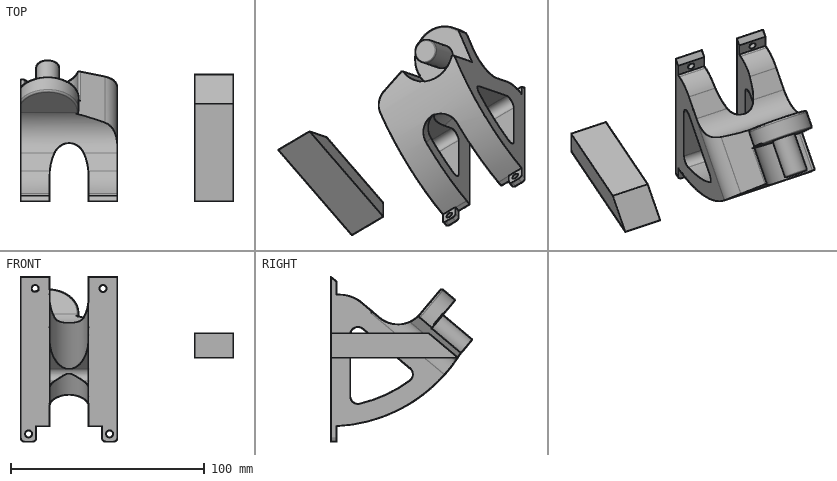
import cadquery as cq
import math

WIDTH = 50.0
HALF_WIDTH = WIDTH / 2
HEIGHT = 85.4
PLATE_THICKNESS = 3.0
TILT = math.radians(40)
COS_TILT = math.cos(TILT)
SIN_TILT = math.sin(TILT)
FAR = 220

FOOT_WIDTH = 8.0
FOOT_HEIGHT = 8.0
FOOT_RADIUS = 2.0
SCREW_DIAMETER = 3.5
LOWER_HOLE_INSET = 4.1
LOWER_HOLE_Z = 4.1
UPPER_HOLE_INSET = 7.5
UPPER_HOLE_DROP = 6.0

HUMP_RADIUS = 18.0
HUMP_START_Y = 4.3
HUMP_Z = 76.2
SADDLE_RADIUS = 15.0
STRUT_LENGTH = 12.0

RIM_CENTRE_Y = -1.0
RIM_CENTRE_Z = 88.1
RIM_END_ANGLE = math.radians(62)
RIM_RADIUS = math.hypot(PLATE_THICKNESS - RIM_CENTRE_Y, FOOT_HEIGHT - RIM_CENTRE_Z)

WINDOW_WALL = 10.0
WINDOW_RADIUS = 4.0

HUB_X = -11.1
HUB_RISE = 1.2
DISC_RADIUS = 16.1
DISC_THICKNESS = 9.4
DISC_HEADROOM = 1.1
DISC_FRONT_FILLET = 1.0
DISC_BACK_FILLET = 0.5
PIN_RADIUS = 6.0
PIN_LENGTH = 19.9
PIN_FILLET = 0.5
POCKET_FILLET = 1.0

SHOULDER_DROP = 2.8
SHOULDER_START = math.sqrt(DISC_RADIUS**2 - SHOULDER_DROP**2)
SHOULDER_SLOPE = math.radians(20)
SHOULDER_RADIUS = 10.0
SHOULDER_FRONT = 19.8

SLOT_RADIUS = 10.0
SLOT_ANGLE = math.radians(65)
SLOT_AXIS_Y = 21.0
SLOT_AXIS_Z = 57.3

OVERALL_LENGTH = 110
WEDGE_WIDTH = 20.0
WEDGE_X = OVERALL_LENGTH - HALF_WIDTH - WEDGE_WIDTH
WEDGE_LENGTH = 65.8
WEDGE_Z = 43.5
WEDGE_HEIGHT = 12.8


def along(point, distance, direction):
    """Point moved by a distance along a direction, both in the YZ plane."""
    return (point[0] + distance * direction[0], point[1] + distance * direction[1])


OUTWARD = (COS_TILT, -SIN_TILT)
UPWARD = (SIN_TILT, COS_TILT)

hump_centre = (HUMP_START_Y, HUMP_Z - HUMP_RADIUS)
hump_end = along(hump_centre, HUMP_RADIUS, UPWARD)
strut_end = along(hump_end, STRUT_LENGTH, OUTWARD)
saddle_centre = along(strut_end, SADDLE_RADIUS, UPWARD)
saddle_bottom = (saddle_centre[0], saddle_centre[1] - SADDLE_RADIUS)
face_start = along(saddle_centre, SADDLE_RADIUS, OUTWARD)
hub_centre = along(face_start, HUB_RISE, UPWARD)

hub_plane = cq.Plane(
    origin=(HUB_X, *hub_centre), xDir=(1, 0, 0), normal=(0, -COS_TILT, SIN_TILT)
)
hub_location = cq.Location(hub_plane)
LEFT_SIDE = -HALF_WIDTH - HUB_X
RIGHT_SIDE = HALF_WIDTH - HUB_X


def side_workplane():
    """YZ plane at the left side of the bracket, extruding towards +X."""
    return cq.Workplane("YZ", origin=(-HALF_WIDTH, 0, 0))


def rim_point(radius, angle):
    """Point on a circle about the rim centre, at an angle from straight down."""
    return (RIM_CENTRE_Y + radius * math.sin(angle), RIM_CENTRE_Z - radius * math.cos(angle))


def rim_angle(radius, y):
    """Angle from straight down at which a circle about the rim centre reaches y."""
    return math.asin((y - RIM_CENTRE_Y) / radius)


def side_blank():
    """Side outline across the full width, without window, slot or hub shape."""
    rim_start = rim_angle(RIM_RADIUS, PLATE_THICKNESS)
    disc_top = along(hub_centre, DISC_RADIUS + DISC_HEADROOM, UPWARD)
    disc_top_back = along(disc_top, DISC_THICKNESS, OUTWARD)
    bevel_drop = PLATE_THICKNESS * math.tan(TILT)
    hump_mid = along(
        hump_centre, HUMP_RADIUS, (math.sin(TILT / 2), math.cos(TILT / 2))
    )
    return (
        side_workplane()
        .moveTo(0, 0)
        .lineTo(PLATE_THICKNESS, 0)
        .lineTo(PLATE_THICKNESS, FOOT_HEIGHT)
        .threePointArc(
            rim_point(RIM_RADIUS, (rim_start + RIM_END_ANGLE) / 2),
            rim_point(RIM_RADIUS, RIM_END_ANGLE),
        )
        .lineTo(*disc_top_back)
        .lineTo(*disc_top)
        .lineTo(*face_start)
        .threePointArc(saddle_bottom, strut_end)
        .lineTo(*hump_end)
        .threePointArc(hump_mid, (HUMP_START_Y, HUMP_Z))
        .lineTo(PLATE_THICKNESS, HUMP_Z)
        .lineTo(PLATE_THICKNESS, HEIGHT - bevel_drop)
        .lineTo(0, HEIGHT)
        .close()
        .extrude(WIDTH)
    )


def shoulder(depth, height):
    """Body below the hub axis in the hub frame, from a depth, with its sloped top rounded."""
    corner_drop = SHOULDER_DROP + (RIGHT_SIDE - SHOULDER_START) * math.tan(SHOULDER_SLOPE)
    return (
        cq.Workplane("XY", origin=(0, 0, depth))
        .moveTo(LEFT_SIDE, -FAR)
        .lineTo(LEFT_SIDE, -SHOULDER_DROP)
        .lineTo(SHOULDER_START, -SHOULDER_DROP)
        .lineTo(RIGHT_SIDE, -corner_drop)
        .lineTo(RIGHT_SIDE, -FAR)
        .close()
        .extrude(height)
        .edges(cq.NearestToPointSelector((RIGHT_SIDE, -corner_drop, depth + height / 2)))
        .fillet(SHOULDER_RADIUS)
    )


def head():
    """Everything in front of the disc's back plane, with the disc's rims rounded."""
    height = DISC_THICKNESS + SHOULDER_FRONT
    column = cq.Workplane("XY", origin=(0, 0, -DISC_THICKNESS)).circle(DISC_RADIUS).extrude(height)
    arms = cq.Workplane("XY", origin=(0, 0, SHOULDER_FRONT)).rect(FAR, FAR).extrude(FAR)
    shape = shoulder(-DISC_THICKNESS, height).union(column).union(arms)
    blank = side_blank().intersect(cq.Workplane(shape.val().moved(hub_location)))
    local = cq.Workplane(blank.val().moved(hub_location.inverse))
    for depth, radius in ((0, DISC_FRONT_FILLET), (-DISC_THICKNESS, DISC_BACK_FILLET)):
        local = local.edges(cq.NearestToPointSelector((0, DISC_RADIUS, depth))).fillet(radius)
    return cq.Workplane(local.val().moved(hub_location))


def pocket_wall():
    """Lower body behind the disc, hollowed by the round pocket with rounded edges."""
    pocket = cq.Workplane("XY", origin=(0, 0, -FAR)).circle(DISC_RADIUS).extrude(FAR)
    wall = shoulder(-FAR, FAR - DISC_THICKNESS).cut(pocket)
    left_height = -math.sqrt(DISC_RADIUS**2 - LEFT_SIDE**2)
    middle = -(FAR + DISC_THICKNESS) / 2
    for corner in ((LEFT_SIDE, left_height, middle), (SHOULDER_START, -SHOULDER_DROP, middle)):
        wall = wall.edges(cq.NearestToPointSelector(corner)).fillet(POCKET_FILLET)
    return side_blank().intersect(cq.Workplane(wall.val().moved(hub_location)))


def pin():
    """Shaft that stands on the back of the disc, rounded at its end."""
    shaft = (
        cq.Workplane("XY", origin=(0, 0, -DISC_THICKNESS))
        .circle(PIN_RADIUS)
        .extrude(-PIN_LENGTH)
        .faces("<Z")
        .edges()
        .fillet(PIN_FILLET)
    )
    return cq.Workplane(shaft.val().moved(hub_location))


def window():
    """Rounded triangle at an even distance from the strut, the rim and the mounting face."""
    radius = RIM_RADIUS - WINDOW_WALL
    strut_side = along(hump_end, -WINDOW_WALL, UPWARD)
    top = along(strut_side, (WINDOW_WALL - strut_side[0]) / COS_TILT, OUTWARD)
    offset = (top[0] - RIM_CENTRE_Y, top[1] - RIM_CENTRE_Z)
    projection = offset[0] * OUTWARD[0] + offset[1] * OUTWARD[1]
    excess = offset[0] ** 2 + offset[1] ** 2 - radius**2
    tip = along(top, -projection + math.sqrt(projection**2 - excess), OUTWARD)
    start_angle = rim_angle(radius, WINDOW_WALL)
    tip_angle = rim_angle(radius, tip[0])
    return (
        side_workplane()
        .moveTo(*top)
        .lineTo(*tip)
        .threePointArc(
            rim_point(radius, (start_angle + tip_angle) / 2), rim_point(radius, start_angle)
        )
        .close()
        .extrude(WIDTH)
        .edges("|X")
        .fillet(WINDOW_RADIUS)
    )


def slot():
    """Gap between the arms, closed by a half cylinder that leans towards the plates."""
    plane = cq.Plane(
        origin=(0, SLOT_AXIS_Y, SLOT_AXIS_Z),
        xDir=(1, 0, 0),
        normal=(0, -math.cos(SLOT_ANGLE), math.sin(SLOT_ANGLE)),
    )
    return (
        cq.Workplane(plane)
        .moveTo(-SLOT_RADIUS, -FAR)
        .lineTo(-SLOT_RADIUS, 0)
        .threePointArc((0, SLOT_RADIUS), (SLOT_RADIUS, 0))
        .lineTo(SLOT_RADIUS, -FAR)
        .close()
        .extrude(FAR, both=True)
    )


def foot_cut():
    """Space between the feet, with the feet's lower corners rounded when subtracted."""
    foot_centre = HALF_WIDTH - FOOT_WIDTH / 2
    feet = (
        cq.Workplane("XY")
        .pushPoints([(-foot_centre, PLATE_THICKNESS / 2), (foot_centre, PLATE_THICKNESS / 2)])
        .rect(FOOT_WIDTH, PLATE_THICKNESS)
        .extrude(FOOT_HEIGHT)
        .faces("<Z")
        .edges("|Y")
        .fillet(FOOT_RADIUS)
    )
    band = cq.Workplane("XY").rect(WIDTH, 2 * PLATE_THICKNESS).extrude(FOOT_HEIGHT)
    return band.cut(feet)


def screw_holes():
    """Four holes through the mounting plates."""
    places = []
    for side in (-1, 1):
        places.append((side * (HALF_WIDTH - LOWER_HOLE_INSET), LOWER_HOLE_Z))
        places.append((side * (HALF_WIDTH - UPPER_HOLE_INSET), HEIGHT - UPPER_HOLE_DROP))
    return (
        cq.Workplane("XZ")
        .pushPoints(places)
        .circle(SCREW_DIAMETER / 2)
        .extrude(-PLATE_THICKNESS)
    )


def make_bracket():
    """Head, pocket wall and pin as one solid, with the openings cut through."""
    body = head().union(pocket_wall()).union(pin())
    for cutter in (window(), slot(), foot_cut(), screw_holes()):
        body = body.cut(cutter)
    return body


def make_wedge():
    """Bar whose far end slopes back over its full height."""
    top_length = WEDGE_LENGTH - WEDGE_HEIGHT / math.tan(TILT)
    return (
        cq.Workplane("YZ", origin=(WEDGE_X, 0, WEDGE_Z))
        .polyline(
            [(0, 0), (WEDGE_LENGTH, 0), (top_length, WEDGE_HEIGHT), (0, WEDGE_HEIGHT)]
        )
        .close()
        .extrude(WEDGE_WIDTH)
    )


bracket = make_bracket()
wedge = make_wedge()
result = cq.Compound.makeCompound([bracket.val(), wedge.val()])